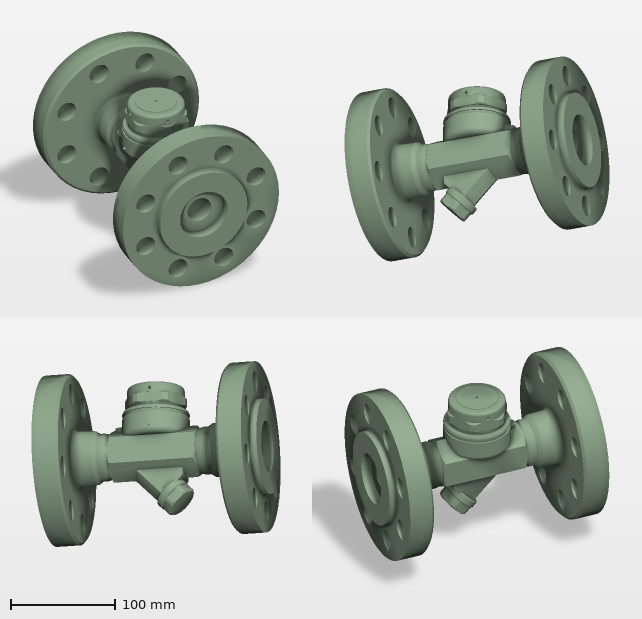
import cadquery as cq
import math

diagonal = math.sqrt(0.5)

half_length = 110.0

flange_dia = 165.0
flange_face_x = 103.5
flange_back_x = 77.9
flange_chamfer = 2.5
raised_face_dia = 92.2
raised_face_fillet = 2.0
bolt_hole_dia = 20.0
bolt_circle_dia = 126.3
bolt_count = 8

neck_root_fillet = 4.0
neck_root_radius = 26.6
neck_shoulder_x = 58.0
neck_shoulder_radius = 26.0
spigot_dia = 46.0
spigot_x = 53.5
spigot_taper_x = 48.6
spigot_end_radius = 21.8

socket_dia = 50.0
socket_depth = 10.1
bore_dia = 25.0
bore_end_x = 44.0

block_length = 87.1
block_flats = 44.9
block_end_radius = 22.5
block_chamfer_length = 2.2

boss_dia = 65.0
boss_bottom_z = 13.6
boss_bottom_fillet = 4.8
boss_top_z = 41.0
groove_dia = 62.0
groove_bottom_z = 34.3
groove_top_z = 37.6
boss_top_chamfer_height = 1.8
boss_top_chamfer_width = 0.9

pin_dia = 2.6
pin_z = 20.5
pin_tip_y = -34.5

tab_width = 10.3
tab_tip_x = -39.8
tab_top_z = 27.5
tab_bottom_z = 21.0
tab_fillet = 3.0

branch_offset = 17.5
branch_flats = 25.3
branch_end = 39.2
web_side_x = 29.3

plug_collar_dia = 34.0
plug_collar_start = 37.0
plug_collar_end = 44.7
plug_collar_chamfer = 0.9
plug_hex_flats = 30.1
plug_corner_dia = 33.0
plug_end = 54.5
plug_chamfer = 1.5

cover_dia = 55.5
cover_neck_dia = 54.0
cover_hex_bottom_z = 44.9
cover_hex_top_z = 55.0
cover_hex_flats = 54.5
cover_corner_dia = 59.8
cover_hex_chamfer_height = 1.3
cover_hex_chamfer_width = 2.0
cover_rim_z = 65.3
cover_top_z = 66.0
cover_top_dia = 40.0
cover_rim_fillet = 3.0
vent_dia = 2.6
vent_depth = 2.2
spanner_hole_dia = 3.0
spanner_hole_mouth_dia = 4.0
spanner_hole_depth = 3.3
spanner_hole_z = 58.5
spanner_hole_count = 4


def disc(diameter, bottom, top):
    """Vertical cylinder around Z."""
    return cq.Workplane("XY").workplane(offset=bottom).circle(diameter / 2).extrude(top - bottom)


def hexagon(flats, bottom, top):
    """Vertical hexagonal prism around Z with flats facing -Y and +Y."""
    corner_dia = flats / math.cos(math.radians(30))
    return cq.Workplane("XY").workplane(offset=bottom).polygon(6, corner_dia).extrude(top - bottom)


def left_end():
    """Left flange with its raised face, neck, socket, bore and bolt holes."""
    raised_radius = raised_face_dia / 2
    flange_radius = flange_dia / 2
    fillet_middle = 1 - diagonal
    profile = (
        cq.Workplane("XY")
        .moveTo(-half_length, 0)
        .lineTo(-half_length, raised_radius)
        .lineTo(-flange_face_x - raised_face_fillet, raised_radius)
        .threePointArc(
            (
                -flange_face_x - raised_face_fillet * fillet_middle,
                raised_radius + raised_face_fillet * fillet_middle,
            ),
            (-flange_face_x, raised_radius + raised_face_fillet),
        )
        .lineTo(-flange_face_x, flange_radius)
        .lineTo(-flange_back_x - flange_chamfer, flange_radius)
        .lineTo(-flange_back_x, flange_radius - flange_chamfer)
        .lineTo(-flange_back_x, neck_root_radius + neck_root_fillet)
        .threePointArc(
            (
                -flange_back_x + neck_root_fillet * fillet_middle,
                neck_root_radius + neck_root_fillet * fillet_middle,
            ),
            (-flange_back_x + neck_root_fillet, neck_root_radius),
        )
        .lineTo(-neck_shoulder_x, neck_shoulder_radius)
        .lineTo(-spigot_x, spigot_dia / 2)
        .lineTo(-spigot_taper_x, spigot_dia / 2)
        .lineTo(-block_length / 2, spigot_end_radius)
        .lineTo(-block_length / 2, 0)
        .close()
    )
    end = profile.revolve(360, (0, 0, 0), (1, 0, 0))

    face = cq.Workplane("YZ").workplane(offset=-half_length)
    socket = face.circle(socket_dia / 2).extrude(socket_depth)
    bore = face.circle(bore_dia / 2).extrude(half_length - bore_end_x)
    bolt_holes = (
        face.polarArray(bolt_circle_dia / 2, 180 / bolt_count, 360, bolt_count)
        .circle(bolt_hole_dia / 2)
        .extrude(half_length - flange_back_x)
    )
    return end.cut(socket).cut(bore).cut(bolt_holes)


def centre_block():
    """Hexagonal bar along X whose ends are turned to a cone."""
    corner_dia = block_flats / math.cos(math.radians(30))
    bar = (
        cq.Workplane("YZ")
        .workplane(offset=-block_length / 2)
        .transformed(rotate=(0, 0, 90))
        .polygon(6, corner_dia)
        .extrude(block_length)
    )
    end_x = block_length / 2
    cone_x = end_x - block_chamfer_length
    turned = (
        cq.Workplane("XY")
        .polyline(
            [
                (-end_x, 0),
                (-end_x, block_end_radius),
                (-cone_x, corner_dia / 2),
                (cone_x, corner_dia / 2),
                (end_x, block_end_radius),
                (end_x, 0),
            ]
        )
        .close()
        .revolve(360, (0, 0, 0), (1, 0, 0))
    )
    return bar.intersect(turned)


def boss():
    """Round seat for the cover, with a rounded foot and a groove under its top ring."""
    drum = (
        disc(boss_dia, boss_bottom_z, boss_top_z)
        .faces("<Z")
        .edges()
        .fillet(boss_bottom_fillet)
        .faces(">Z")
        .edges()
        .chamfer(boss_top_chamfer_height, boss_top_chamfer_width)
    )
    groove = disc(boss_dia, groove_bottom_z, groove_top_z).cut(
        disc(groove_dia, groove_bottom_z, groove_top_z)
    )
    return drum.cut(groove)


def boss_pin():
    """Small pin standing out of the front of the boss."""
    return (
        cq.Workplane("XZ", origin=(0, pin_tip_y, pin_z))
        .circle(pin_dia / 2)
        .extrude(pin_tip_y + groove_dia / 2)
    )


def tab():
    """Flat tab with a round tip, joined to the boss by a fillet on each side."""
    half_width = tab_width / 2
    tip_centre_x = tab_tip_x + half_width
    boss_radius = boss_dia / 2
    fillet_y = half_width + tab_fillet
    fillet_x = -math.sqrt((boss_radius + tab_fillet) ** 2 - fillet_y**2)
    boss_share = boss_radius / (boss_radius + tab_fillet)
    touch_x = fillet_x * boss_share
    touch_y = fillet_y * boss_share
    return (
        cq.Workplane("XY")
        .workplane(offset=tab_bottom_z)
        .moveTo(tip_centre_x, -half_width)
        .threePointArc((tab_tip_x, 0), (tip_centre_x, half_width))
        .lineTo(fillet_x, half_width)
        .radiusArc((touch_x, touch_y), -tab_fillet)
        .lineTo(0, touch_y)
        .lineTo(0, -touch_y)
        .lineTo(touch_x, -touch_y)
        .radiusArc((fillet_x, -half_width), -tab_fillet)
        .close()
        .extrude(tab_top_z - tab_bottom_z)
    )


def along_branch(shape):
    """Turn a shape built upward from the origin to point 45 degrees down and place it on the branch."""
    shift = -branch_offset * diagonal
    return shape.rotate((0, 0, 0), (0, 1, 0), 135).translate((shift, 0, shift))


def branch():
    """Hexagonal branch with the web that fills the corner between it and the block."""
    prism = along_branch(hexagon(branch_flats, 0, branch_end))
    foot = -branch_offset * diagonal
    reach = branch_end * diagonal
    web_low_z = web_side_x - branch_end / diagonal
    web = (
        cq.Workplane("XZ")
        .polyline(
            [
                (foot, foot),
                (foot + reach, foot - reach),
                (web_side_x, web_low_z),
                (web_side_x, foot),
            ]
        )
        .close()
        .extrude(branch_flats / 2, both=True)
    )
    return prism.union(web)


def plug():
    """Collar and hexagonal head at the end of the branch."""
    collar = (
        disc(plug_collar_dia, plug_collar_start, plug_collar_end)
        .faces("<Z or >Z")
        .chamfer(plug_collar_chamfer)
    )
    turned = disc(plug_corner_dia, plug_collar_end, plug_end).faces(">Z").chamfer(plug_chamfer)
    head = hexagon(plug_hex_flats, plug_collar_end, plug_end).intersect(turned)
    return along_branch(collar.union(head))


def build_housing():
    """Block, flanged ends, boss, branch and plug as one solid."""
    end = left_end()
    housing = centre_block().union(end).union(end.mirror("YZ"))
    for feature in (boss(), boss_pin(), tab(), branch(), plug()):
        housing = housing.union(feature)
    return housing


def build_cover():
    """Screwed cover: neck, hexagon and domed cap with vent and countersunk spanner holes."""
    neck = disc(cover_neck_dia, boss_top_z, cover_hex_bottom_z)
    turned = (
        disc(cover_corner_dia, cover_hex_bottom_z, cover_hex_top_z)
        .faces("<Z or >Z")
        .chamfer(cover_hex_chamfer_height, cover_hex_chamfer_width)
    )
    nut = hexagon(cover_hex_flats, cover_hex_bottom_z, cover_hex_top_z).intersect(turned)
    cap = disc(cover_dia, cover_hex_top_z, cover_rim_z).faces(">Z").edges().fillet(cover_rim_fillet)
    raised_top = disc(cover_top_dia, cover_rim_z, cover_top_z)
    cover = neck.union(nut).union(cap).union(raised_top)

    cover = cover.cut(disc(vent_dia, cover_top_z - vent_depth, cover_top_z))
    mouth_radius = spanner_hole_mouth_dia / 2
    mouth_depth = mouth_radius - spanner_hole_dia / 2
    mouth_plane = cq.Workplane("YZ", origin=(cover_dia / 2, 0, spanner_hole_z))
    mouth = mouth_plane.circle(mouth_radius).extrude(-mouth_depth, taper=45)
    spanner_hole = mouth_plane.circle(spanner_hole_dia / 2).extrude(-spanner_hole_depth).union(mouth)
    for index in range(spanner_hole_count):
        angle = index * 360 / spanner_hole_count
        cover = cover.cut(spanner_hole.rotate((0, 0, 0), (0, 0, 1), angle))
    return cover


housing = build_housing()
cover = build_cover()

result = cq.Compound.makeCompound([housing.val(), cover.val()])